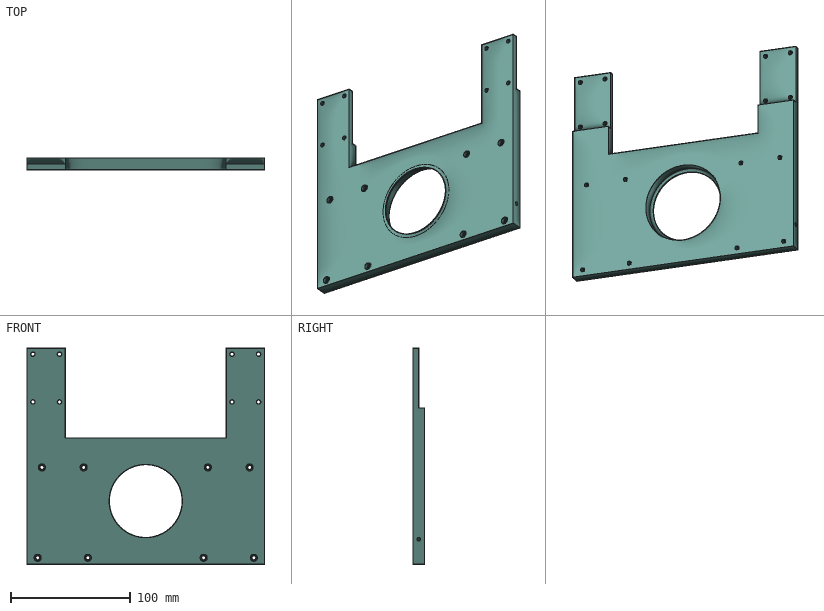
import cadquery as cq

width = 199.0
thickness = 10.0
height = 181.0

arm_width = 32.25
opening_depth = 75.0

thin_arm_length = 50.0
thin_arm_thickness = 5.0

lip_diameter = 61.0
lip_thickness = 1.0
bore_diameter = 67.0
bore_height = 53.0

clearance_diameter = 3.4

arm_hole_inset = 5.0
arm_hole_pitch_x = 22.25
arm_hole_pitch_z = 40.0

counterbore_diameter = 5.9
counterbore_depth = 3.5
upper_screw_offsets = (52.0, 87.0)
upper_screw_height = 81.2
lower_screw_offsets = (48.5, 90.5)
lower_screw_height = 5.5

edge_hole_diameter = 3.0
edge_hole_depth = 10.0
edge_hole_height = 21.0


def block(size_x, size_y, size_z, corner):
    """Box with its lowest X, Y, Z corner at the given point."""
    return cq.Workplane("XY").box(size_x, size_y, size_z, centered=False).translate(corner)


def drill(body, points, diameter, depth, start=0):
    """Cut holes at (x, z) points towards the back, starting at Y = start."""
    plane = cq.Workplane("XZ", origin=(0, start, 0))
    tools = plane.pushPoints(points).circle(diameter / 2).extrude(-depth)
    return body.cut(tools)


def mirrored(offsets, z):
    """Points at each distance to the left and right of the middle plane."""
    return [(side * x, z) for side in (-1, 1) for x in offsets]


def make_plate():
    plate = block(width, thickness, height, (-width / 2, 0, 0))
    opening_width = width - 2 * arm_width
    opening = block(
        opening_width, thickness, opening_depth,
        (-opening_width / 2, 0, height - opening_depth),
    )
    arm_relief = block(
        width, thickness - thin_arm_thickness, thin_arm_length,
        (-width / 2, thin_arm_thickness, height - thin_arm_length),
    )
    return plate.cut(opening).cut(arm_relief)


def add_bore(body):
    centre = [(0, bore_height)]
    body = drill(body, centre, lip_diameter, lip_thickness)
    return drill(body, centre, bore_diameter, thickness - lip_thickness, start=lip_thickness)


def add_arm_holes(body):
    outer_offset = width / 2 - arm_hole_inset
    offsets = (outer_offset - arm_hole_pitch_x, outer_offset)
    top_row = height - arm_hole_inset
    for z in (top_row, top_row - arm_hole_pitch_z):
        body = drill(body, mirrored(offsets, z), clearance_diameter, thickness)
    return body


def add_counterbored_holes(body):
    points = mirrored(upper_screw_offsets, upper_screw_height)
    points += mirrored(lower_screw_offsets, lower_screw_height)
    body = drill(body, points, clearance_diameter, thickness)
    return drill(body, points, counterbore_diameter, counterbore_depth)


def add_edge_holes(body):
    for x in (-width / 2, width / 2 - edge_hole_depth):
        tool = (
            cq.Workplane("YZ", origin=(x, 0, 0))
            .center(thickness / 2, edge_hole_height)
            .circle(edge_hole_diameter / 2)
            .extrude(edge_hole_depth)
        )
        body = body.cut(tool)
    return body


result = make_plate()
result = add_bore(result)
result = add_arm_holes(result)
result = add_counterbored_holes(result)
result = add_edge_holes(result)